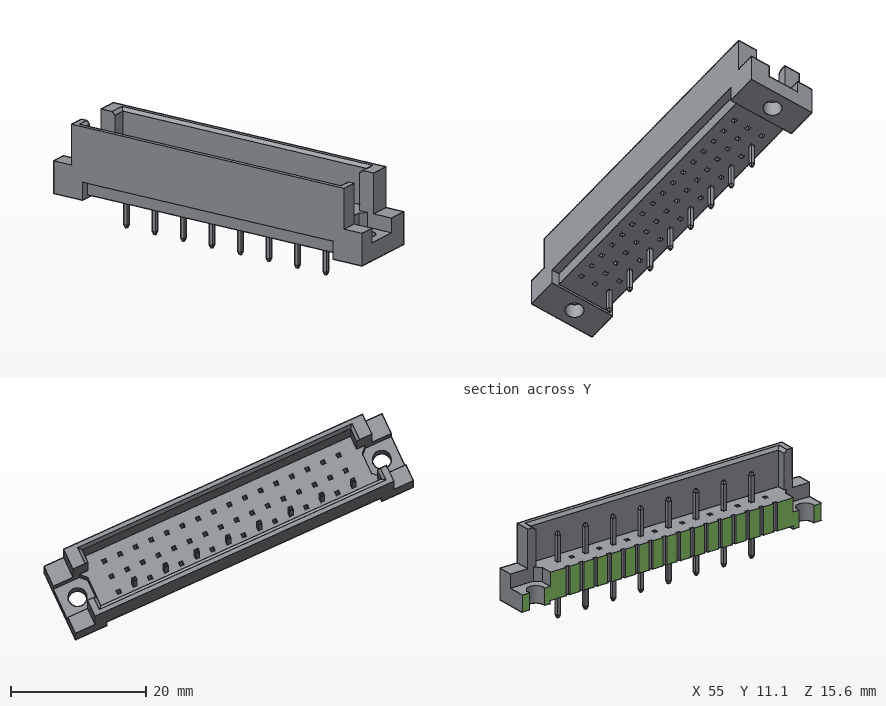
import cadquery as cq

housing_length = 55.0
housing_width = 11.1
housing_height = 11.6
flange_height = 5.15
flange_length = 3.2

foot_length = 5.15
belly_lift = 0.5
undercut_top = 2.85
undercut_depth = 1.25

back_wall_width = 3.3
front_wall_width = 2.65
pocket_depth = 2.3
pocket_length = 5.15
pocket_corner = 0.95
mount_hole_diameter = 2.8
mount_hole_inset = 2.75

cavity_side_wall = 1.15
back_cavity_inset = 5.65
front_cavity_inset = 4.7
bevel = 0.5

column_span = 38.1
column_count = 16
pitch = column_span / (column_count - 1)
row_count = 3
pin_width = 0.6
pin_tip_width = 0.3
pin_taper = 0.5
pin_bottom = -4.0
pin_recess = 1.65
pin_top = housing_height - pin_recess

half_length = housing_length / 2
half_width = housing_width / 2
slot_back = half_width - back_wall_width
slot_front = -half_width + front_wall_width
slot_center = (slot_back + slot_front) / 2
column_xs = [(i - (column_count - 1) / 2) * pitch for i in range(column_count)]
row_ys = [(j - (row_count - 1) / 2) * pitch for j in range(row_count)]
pin_xs = column_xs[1::2]
pin_y = row_ys[0]


def box(x_size, y_min, y_max, z_min, z_max):
    """Box centered on X = 0 that spans the given Y and Z ranges."""
    return (
        cq.Workplane("XY", origin=(0, y_min, z_min))
        .box(x_size, y_max - y_min, z_max - z_min, centered=(True, False, False))
    )


def housing_block():
    """Flanged block with the middle raised on two feet and undercut along both sides."""
    base = box(housing_length, -half_width, half_width, 0, flange_height)
    walls = box(housing_length - 2 * flange_length, -half_width, half_width, flange_height, housing_height)
    span = housing_length - 2 * foot_length
    block = base.union(walls).cut(box(span, -half_width, half_width, 0, belly_lift))
    inner = half_width - undercut_depth
    for y_min, y_max in ((-half_width, -inner), (inner, half_width)):
        block = block.cut(box(span, y_min, y_max, 0, undercut_top))
    return block


def wall_hollow(end_inset, y_inner, y_slot):
    """Hollow in one tall wall, from its inner face to the slot, flaring out at the rim."""
    length = housing_length - 2 * end_inset
    hollow = box(length, min(y_inner, y_slot), max(y_inner, y_slot), flange_height, housing_height)
    outward = bevel if y_inner > y_slot else -bevel
    flare = (
        cq.Workplane("XY", origin=(0, y_slot, housing_height - bevel))
        .rect(length, 2 * abs(y_inner - y_slot))
        .workplane(offset=bevel)
        .rect(length + 2 * bevel, 2 * abs(y_inner + outward - y_slot))
        .loft(ruled=True)
    )
    return hollow.union(flare)


def mounting_pocket(side):
    """Pocket with cut corners at one end; side is -1 for the -X end and +1 for the +X end."""
    outer_x = side * half_length
    inner_x = side * (half_length - pocket_length)
    corner_x = inner_x + side * pocket_corner
    return (
        cq.Workplane("XY", origin=(0, 0, flange_height - pocket_depth))
        .polyline([
            (outer_x, slot_front),
            (corner_x, slot_front),
            (inner_x, slot_front + pocket_corner),
            (inner_x, slot_back - pocket_corner),
            (corner_x, slot_back),
            (outer_x, slot_back),
        ])
        .close()
        .extrude(pocket_depth)
    )


def make_housing():
    """Connector housing with cavity, mounting pockets and contact holes."""
    housing = housing_block()

    housing = housing.cut(box(housing_length, slot_front, slot_back, flange_height, housing_height))
    housing = housing.cut(wall_hollow(back_cavity_inset, half_width - cavity_side_wall, slot_back))
    housing = housing.cut(wall_hollow(front_cavity_inset, -half_width + cavity_side_wall, slot_front))

    for side in (-1, 1):
        housing = housing.cut(mounting_pocket(side))
    mount_x = half_length - mount_hole_inset
    mount_holes = (
        cq.Workplane("XY")
        .pushPoints([(-mount_x, slot_center), (mount_x, slot_center)])
        .circle(mount_hole_diameter / 2)
        .extrude(flange_height)
    )
    contact_holes = (
        cq.Workplane("XY")
        .pushPoints([(x, y) for x in column_xs for y in row_ys])
        .rect(pin_width, pin_width)
        .extrude(flange_height)
    )
    return housing.cut(mount_holes).cut(contact_holes)


def pin_tip(x, z_root, z_end):
    """Tapered pin end that narrows from z_root to z_end."""
    return (
        cq.Workplane("XY", origin=(x, pin_y, z_root))
        .rect(pin_width, pin_width)
        .workplane(offset=z_end - z_root)
        .rect(pin_tip_width, pin_tip_width)
        .loft(ruled=True)
    )


def make_pin(x):
    """Square contact pin, tapered at both ends."""
    shank_bottom = pin_bottom + pin_taper
    shank_top = pin_top - pin_taper
    shank = (
        cq.Workplane("XY", origin=(x, pin_y, shank_bottom))
        .rect(pin_width, pin_width)
        .extrude(shank_top - shank_bottom)
    )
    return shank.union(pin_tip(x, shank_top, pin_top)).union(pin_tip(x, shank_bottom, pin_bottom))


housing = make_housing()
pins = [make_pin(x) for x in pin_xs]

result = cq.Compound.makeCompound([housing.val(), *[pin.val() for pin in pins]])